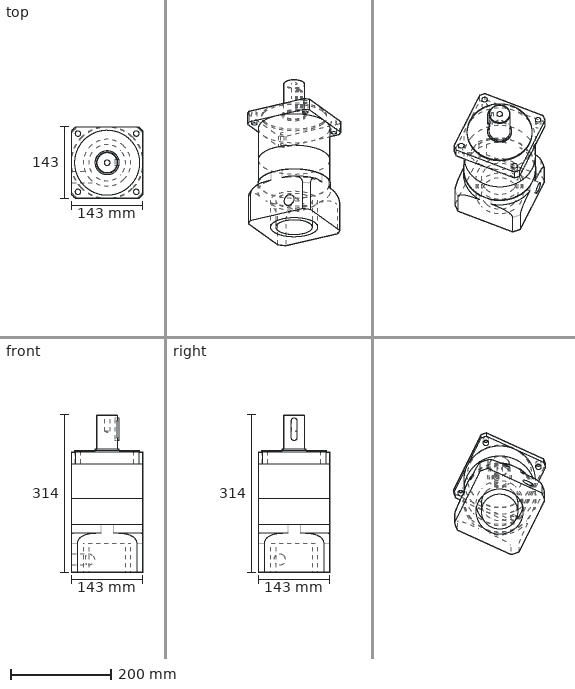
import cadquery as cq
import math

total_height = 314.0
square_side = 143.0

fillet_start_z = 57.8
adapter_top_z = 95.5
joint_z = 147.5
flange_bottom_z = 216.5
flange_top_z = 240.0
pilot_top_z = 243.5
collar_top_z = 246.2

corner_radius = 93.0
shoulder_fillet = 20.5
neck_radius = corner_radius - shoulder_fillet
barrel_radius = square_side / 2

hub_radius = 36.5
cavity_radius = 47.0
cavity_depth = fillet_start_z
access_diameter = 22.5
access_y = -29.0
access_z = 25.5

flange_chamfer = 8.0
pilot_diameter = 130.0
bolt_spacing = 116.5
bolt_hole_diameter = 11.0

shaft_diameter = 42.0
shaft_chamfer = 1.0
collar_diameter = 48.0
center_hole_diameter = 11.0
center_hole_depth = 31.5
drill_point_angle = 118.0

key_width = 12.0
key_length = 45.0
key_height = 8.0
key_outer_x = 24.0
key_top_gap = 5.5
key_seat_x = key_outer_x - key_height
key_center_z = total_height - key_top_gap - key_length / 2


def cylinder(radius, bottom_z, top_z):
    """Upright cylinder on the gearbox axis."""
    return cq.Workplane("XY").workplane(offset=bottom_z).circle(radius).extrude(top_z - bottom_z)


def make_gearcase():
    """Square adapter with turned corners and neck, its ring section, hub cavity and access hole."""
    square_block = cq.Workplane("XY").rect(square_side, square_side).extrude(adapter_top_z)

    shoulder_z = fillet_start_z + shoulder_fillet
    arc_mid_radius = neck_radius + shoulder_fillet * math.cos(math.pi / 4)
    arc_mid_z = fillet_start_z + shoulder_fillet * math.sin(math.pi / 4)
    turned_envelope = (
        cq.Workplane("XZ")
        .moveTo(0, 0)
        .lineTo(corner_radius, 0)
        .lineTo(corner_radius, fillet_start_z)
        .threePointArc((arc_mid_radius, arc_mid_z), (neck_radius, shoulder_z))
        .lineTo(neck_radius, adapter_top_z)
        .lineTo(0, adapter_top_z)
        .close()
        .revolve(360, (0, 0, 0), (0, 1, 0))
    )
    adapter = square_block.intersect(turned_envelope)
    ring = cylinder(barrel_radius, adapter_top_z, joint_z)

    cavity = cylinder(cavity_radius, 0, cavity_depth)
    access_hole = (
        cq.Workplane("YZ")
        .workplane(offset=-square_side / 2)
        .center(access_y, access_z)
        .circle(access_diameter / 2)
        .extrude(square_side / 2)
    )
    return adapter.union(ring).cut(cavity).cut(access_hole)


def make_clamp_hub():
    """Round hub standing in the adapter's cavity."""
    return cylinder(hub_radius, 0, cavity_depth)


def make_output_housing():
    """Round barrel with the bolted square flange and its round pilot."""
    barrel = cylinder(barrel_radius, joint_z, flange_bottom_z)
    flange = (
        cq.Workplane("XY")
        .workplane(offset=flange_bottom_z)
        .rect(square_side, square_side)
        .extrude(flange_top_z - flange_bottom_z)
        .edges("|Z")
        .chamfer(flange_chamfer)
    )
    bolt_holes = (
        cq.Workplane("XY")
        .workplane(offset=flange_bottom_z)
        .rect(bolt_spacing, bolt_spacing, forConstruction=True)
        .vertices()
        .circle(bolt_hole_diameter / 2)
        .extrude(flange_top_z - flange_bottom_z)
    )
    pilot = cylinder(pilot_diameter / 2, flange_top_z, pilot_top_z)
    return barrel.union(flange.cut(bolt_holes)).union(pilot)


def make_key():
    """Round-ended key on the +X side of the shaft."""
    return (
        cq.Workplane("YZ")
        .workplane(offset=key_seat_x)
        .center(0, key_center_z)
        .slot2D(key_length, key_width, 90)
        .extrude(key_height)
    )


def make_output_shaft():
    """Shaft with its collar, chamfered end, drilled center hole and keyway."""
    collar = cylinder(collar_diameter / 2, pilot_top_z, collar_top_z)
    journal = cylinder(shaft_diameter / 2, collar_top_z, total_height).faces(">Z").chamfer(shaft_chamfer)

    hole_radius = center_hole_diameter / 2
    hole_floor_z = total_height - center_hole_depth
    drill_point_height = hole_radius / math.tan(math.radians(drill_point_angle / 2))
    center_hole = (
        cq.Workplane("XZ")
        .moveTo(0, total_height)
        .lineTo(hole_radius, total_height)
        .lineTo(hole_radius, hole_floor_z)
        .lineTo(0, hole_floor_z - drill_point_height)
        .close()
        .revolve(360, (0, 0, 0), (0, 1, 0))
    )
    return collar.union(journal).cut(center_hole).cut(make_key())


gearcase = make_gearcase()
clamp_hub = make_clamp_hub()
output_housing = make_output_housing()
output_shaft = make_output_shaft()
key = make_key()

result = cq.Compound.makeCompound(
    [gearcase.val(), clamp_hub.val(), output_housing.val(), output_shaft.val(), key.val()]
)